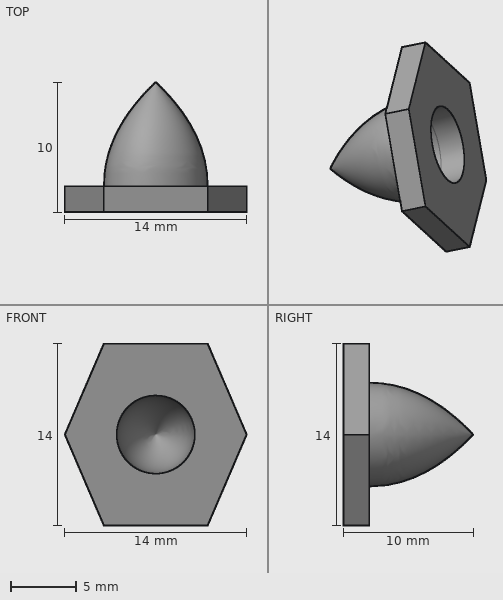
import cadquery as cq

width = 14.0
flat_length = 8.0
plate_thickness = 2.0
nose_length = 8.0
nose_radius = 4.0
wall = 1.0
fullness = 0.53


def pointed_dome(base_radius, length):
    """Dome on the back of the plate, pointing along +Y, with a smooth profile square to the plate."""
    base_rim = (base_radius, plate_thickness)
    control_point = (base_radius, plate_thickness + fullness * length)
    tip = (0, plate_thickness + length)
    return (
        cq.Workplane("XY")
        .moveTo(0, plate_thickness)
        .lineTo(*base_rim)
        .bezier([base_rim, control_point, tip])
        .close()
        .revolve(360, (0, 0, 0), (0, 1, 0))
    )


half_width = width / 2
half_flat = flat_length / 2
plate = (
    cq.Workplane("XZ")
    .polyline([
        (half_width, 0),
        (half_flat, half_width),
        (-half_flat, half_width),
        (-half_width, 0),
        (-half_flat, -half_width),
        (half_flat, -half_width),
    ])
    .close()
    .extrude(-plate_thickness)
)

cavity_radius = nose_radius - wall
bore = cq.Workplane("XZ").circle(cavity_radius).extrude(-plate_thickness)
cavity = bore.union(pointed_dome(cavity_radius, nose_length - wall))

result = plate.union(pointed_dome(nose_radius, nose_length)).cut(cavity)